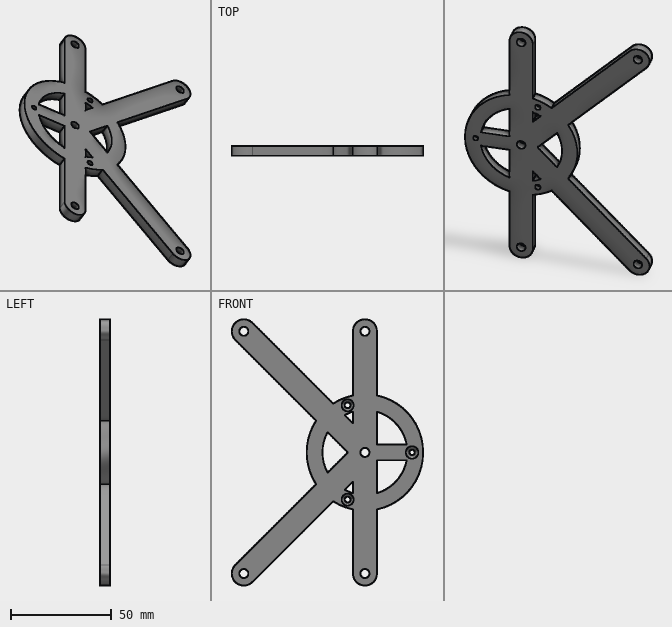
import cadquery as cq

overall_height = 132.0
thickness = 5.0
arm_width = 12.0
arm_radius = arm_width / 2
arm_reach = overall_height / 2 - arm_radius
arm_hole_diameter = 4.4
arm_ends = [(0, arm_reach), (0, -arm_reach), (-arm_reach, arm_reach), (-arm_reach, -arm_reach)]

ring_outer_radius = 28.9
ring_inner_radius = 21.0
spoke_width = 7.9

spoke_screw_x = 23.4
spoke_screw_diameter = 2.5
spoke_sink_diameter = 6.2
side_screw_x = -8.6
side_screw_z = 23.4
side_screw_diameter = 2.8
side_sink_diameter = 6.0
sink_angle = 90


def front_plane():
    """Sketch plane on the front face, with its normal pointing toward -Y."""
    return cq.Workplane("XZ")


def make_arm(end_x, end_z):
    """Round-ended bar from the hub to the given end hole centre."""
    hub = cq.Vector(0, 0, 0)
    end = cq.Vector(end_x, end_z, 0)
    side = cq.Vector(-end_z, end_x, 0).normalized() * arm_radius
    bar = (
        front_plane()
        .polyline([(p.x, p.y) for p in (hub + side, end + side, end - side, hub - side)])
        .close()
        .extrude(-thickness)
    )
    caps = front_plane().pushPoints([(0, 0), (end_x, end_z)]).circle(arm_radius).extrude(-thickness)
    return bar.union(caps)


def cut_countersinks(body, centres, hole_diameter, sink_diameter):
    """Through holes countersunk from the front face."""
    return (
        body.copyWorkplane(front_plane())
        .pushPoints(centres)
        .cskHole(hole_diameter, sink_diameter, sink_angle)
    )


result = front_plane().circle(ring_outer_radius).circle(ring_inner_radius).extrude(-thickness)
spoke_length = (ring_inner_radius + ring_outer_radius) / 2
spoke = front_plane().center(spoke_length / 2, 0).rect(spoke_length, spoke_width).extrude(-thickness)
result = result.union(spoke)
for arm_end in arm_ends:
    result = result.union(make_arm(*arm_end))

plain_holes = (
    front_plane().pushPoints([(0, 0)] + arm_ends).circle(arm_hole_diameter / 2).extrude(-thickness)
)
result = result.cut(plain_holes)

side_screws = [(side_screw_x, side_screw_z), (side_screw_x, -side_screw_z)]
result = cut_countersinks(result, [(spoke_screw_x, 0)], spoke_screw_diameter, spoke_sink_diameter)
result = cut_countersinks(result, side_screws, side_screw_diameter, side_sink_diameter)